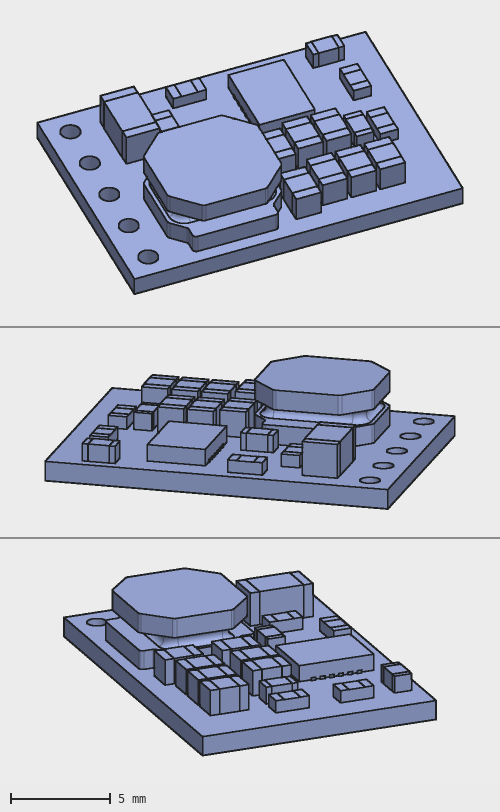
import cadquery as cq

BOARD_LENGTH_X = 12.7
BOARD_LENGTH_Y = 17.78
BOARD_THICKNESS = 1.02

HOLE_COUNT = 5
HOLE_PITCH = 2.54
HOLE_DIAMETER = 1.02
HOLE_EDGE_DISTANCE = HOLE_PITCH / 2

LARGE_CAPACITOR = dict(length=3.4, width=1.82, height=1.77, terminal=0.5, side_step=0.01, top_step=0.01)
MEDIUM_CAPACITOR = dict(length=2.09, width=1.35, height=1.35, terminal=0.5, side_step=0.01, top_step=0.01)
SMALL_CAPACITOR = dict(length=1.7, width=0.93, height=0.9, terminal=0.3, side_step=0.01, top_step=0.01)
RESISTOR = dict(length=1.8, width=0.95, height=0.65, terminal=0.46, side_step=0.0, top_step=-0.01)

RIGHT_COLUMN_X = 3.81
MIDDLE_COLUMN_X = 0.81
CHIPS = [
    (MEDIUM_CAPACITOR, RIGHT_COLUMN_X, 5.71, False),
    (MEDIUM_CAPACITOR, RIGHT_COLUMN_X, 4.15, False),
    (MEDIUM_CAPACITOR, RIGHT_COLUMN_X, 2.59, False),
    (MEDIUM_CAPACITOR, MIDDLE_COLUMN_X, 4.05, False),
    (MEDIUM_CAPACITOR, MIDDLE_COLUMN_X, 2.51, False),
    (MEDIUM_CAPACITOR, 1.14, 0.91, False),
    (MEDIUM_CAPACITOR, 4.27, 0.97, False),
    (SMALL_CAPACITOR, MIDDLE_COLUMN_X, 5.55, False),
    (SMALL_CAPACITOR, -5.30, 6.27, True),
    (SMALL_CAPACITOR, -1.46, -0.89, True),
    (RESISTOR, -2.72, 6.84, False),
    (RESISTOR, 0.79, 6.84, False),
    (RESISTOR, -5.20, -1.30, True),
    (RESISTOR, -3.12, -3.20, False),
    (LARGE_CAPACITOR, -3.48, -5.05, False),
]

IC_CENTER = (-3.03, 2.43)
IC_LENGTH_X = 4.05
IC_LENGTH_Y = 3.0
IC_HEIGHT = 0.9
IC_STANDOFF = 0.04
IC_PADS_PER_SIDE = 6
IC_PAD_PITCH = 0.5
IC_PAD_WIDTH = 0.25
IC_PAD_LENGTH = 0.4
IC_PAD_HEIGHT = 0.15
IC_PAD_PROTRUSION = 0.01
IC_THERMAL_PAD_X = 2.6
IC_THERMAL_PAD_Y = 1.6

INDUCTOR_CENTER = (2.52, -3.065)
FLANGE_LENGTH_X = 5.92
FLANGE_LENGTH_Y = 6.18
FLANGE_CORNER_CUT = 1.37
FLANGE_CORNER_RADIUS = 0.27
BASE_THICKNESS = 1.0
LID_THICKNESS = 1.03
WING_SPAN_X = 6.24
WING_LENGTH_Y = 4.62
WING_CORNER_RADIUS = 0.2
CORE_LENGTH_X = 3.5
CORE_LENGTH_Y = 5.2
CORE_CORNER_RADIUS = 0.55
CORE_HEIGHT = 0.77
CORE_FLARE = 0.27


def block(length_x, length_y, height):
    """A box centred in X and Y that stands on Z = 0."""
    return cq.Workplane("XY").box(length_x, length_y, height, centered=(True, True, False))


def make_board():
    hole_y = HOLE_EDGE_DISTANCE - BOARD_LENGTH_Y / 2
    board = block(BOARD_LENGTH_X, BOARD_LENGTH_Y, BOARD_THICKNESS)
    holes = (
        cq.Workplane("XY")
        .center(0, hole_y)
        .rarray(HOLE_PITCH, 1, HOLE_COUNT, 1)
        .circle(HOLE_DIAMETER / 2)
        .extrude(BOARD_THICKNESS)
    )
    return board.cut(holes)


def make_chip(length, width, height, terminal, side_step, top_step):
    """A chip lying along X: a bare middle between two end terminals."""
    middle = block(length - 2 * terminal, width + 2 * side_step, height + top_step)
    chip = middle
    for side in (-1, 1):
        end = block(terminal, width, height).translate((side * (length - terminal) / 2, 0, 0))
        chip = chip.union(end)
    return chip


def make_integrated_circuit():
    body = block(IC_LENGTH_X, IC_LENGTH_Y, IC_HEIGHT - IC_STANDOFF).translate((0, 0, IC_STANDOFF))
    package = body.union(block(IC_THERMAL_PAD_X, IC_THERMAL_PAD_Y, IC_STANDOFF))
    pad = block(IC_PAD_WIDTH, IC_PAD_LENGTH, IC_PAD_HEIGHT)
    pad_y = (IC_LENGTH_Y - IC_PAD_LENGTH) / 2 + IC_PAD_PROTRUSION
    first_pad_x = -IC_PAD_PITCH * (IC_PADS_PER_SIDE - 1) / 2
    for index in range(IC_PADS_PER_SIDE):
        for side in (-1, 1):
            pad_x = first_pad_x + index * IC_PAD_PITCH
            package = package.union(pad.translate((pad_x, side * pad_y, 0)))
    return package


def make_flange(thickness):
    """An octagonal plate with slightly rounded corners."""
    plate = block(FLANGE_LENGTH_X, FLANGE_LENGTH_Y, thickness)
    octagon = plate.edges("|Z").chamfer(FLANGE_CORNER_CUT)
    return octagon.edges("|Z").fillet(FLANGE_CORNER_RADIUS)


def make_inductor_base():
    """The lower flange with a wing on its +X and -X sides."""
    wings = block(WING_SPAN_X, WING_LENGTH_Y, BASE_THICKNESS).edges("|Z").fillet(WING_CORNER_RADIUS)
    base = make_flange(BASE_THICKNESS).union(wings)
    cut_line = (FLANGE_LENGTH_X + FLANGE_LENGTH_Y) / 2 - FLANGE_CORNER_CUT
    inner_y = WING_LENGTH_Y / 2
    inner_x = cut_line - inner_y
    for side_x in (-1, 1):
        for side_y in (-1, 1):
            corner = (side_x * inner_x, side_y * inner_y, BASE_THICKNESS / 2)
            selector = cq.selectors.NearestToPointSelector(corner)
            base = base.edges("|Z").edges(selector).fillet(WING_CORNER_RADIUS)
    return base


def core_block(margin, height):
    """The waist outline of the core, grown outward by a margin, as an upright block."""
    slab = block(CORE_LENGTH_X + 2 * margin, CORE_LENGTH_Y + 2 * margin, height)
    return slab.edges("|Z").fillet(CORE_CORNER_RADIUS + margin)


def make_core():
    """A rounded block with a round groove swept around it, so both ends flare out."""
    half_height = CORE_HEIGHT / 2
    groove_radius = (half_height**2 + CORE_FLARE**2) / (2 * CORE_FLARE)
    path = core_block(groove_radius, CORE_HEIGHT).faces("<Z").wires().translate((0, 0, half_height))
    path_start = (0, -CORE_LENGTH_Y / 2 - groove_radius, half_height)
    groove = cq.Workplane("YZ", origin=path_start).circle(groove_radius).sweep(path)
    return core_block(CORE_FLARE, CORE_HEIGHT).cut(groove)


def make_inductor():
    """The base, core and lid stacked up."""
    core = make_core().translate((0, 0, BASE_THICKNESS))
    lid = make_flange(LID_THICKNESS).translate((0, 0, BASE_THICKNESS + CORE_HEIGHT))
    return make_inductor_base().union(core).union(lid)


def place_on_board(component, center, turned=False):
    angle = 90 if turned else 0
    return component.rotate((0, 0, 0), (0, 0, 1), angle).translate((*center, BOARD_THICKNESS))


result = make_board()
for package, chip_x, chip_y, turned in CHIPS:
    result = result.union(place_on_board(make_chip(**package), (chip_x, chip_y), turned))
result = result.union(place_on_board(make_integrated_circuit(), IC_CENTER))
result = result.union(place_on_board(make_inductor(), INDUCTOR_CENTER))